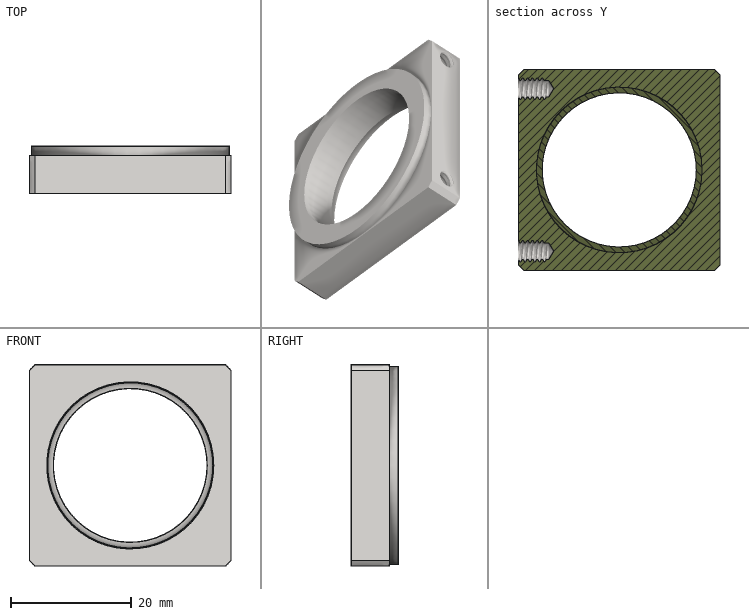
import cadquery as cq
import math

plate_side = 33.53
plate_thickness = 6.37
corner_chamfer = 0.95

bore_diameter = 27.45
counterbore_diameter = 27.8
counterbore_depth = 1.5

ring_inner_diameter = 25.55
flange_diameter = 33.0
flange_thickness = 1.5
sleeve_setback = 1.68

hole_spacing = 27.03
thread_minor_diameter = 2.68
thread_major_diameter = 3.52
thread_pitch = 0.8
thread_angle = 60.0
groove_root_width = thread_pitch / 8
thread_depth = 5.03
drill_point_angle = 118.0
groove_overlap = 0.07
thread_phase = -140.0

side_x = -plate_side / 2
hole_y = plate_thickness / 2


def cylinder_along_y(diameter, start, end):
    """Cylinder around the Y axis between two Y positions."""
    return cq.Workplane("XZ", origin=(0, start, 0)).circle(diameter / 2).extrude(start - end)


def make_thread_cutter():
    """Drilled hole with a helical flat-bottomed V groove, entering along +Z from the origin."""
    minor_radius = thread_minor_diameter / 2
    major_radius = thread_major_diameter / 2
    point_length = minor_radius / math.tan(math.radians(drill_point_angle / 2))
    drill = (
        cq.Workplane("XZ")
        .polyline([
            (0, -thread_pitch),
            (minor_radius, -thread_pitch),
            (minor_radius, thread_depth),
            (0, thread_depth + point_length),
        ])
        .close()
        .revolve(360, (0, 0, 0), (0, 1, 0))
    )
    inner_radius = minor_radius - groove_overlap
    root_half_width = groove_root_width / 2
    flank_rise = (major_radius - inner_radius) * math.tan(math.radians(thread_angle / 2))
    mouth_half_width = root_half_width + flank_rise
    groove_length = thread_depth + thread_pitch / 2
    path = cq.Wire.makeHelix(thread_pitch, groove_length, inner_radius)
    groove = (
        cq.Workplane("XZ")
        .polyline([
            (inner_radius, -mouth_half_width),
            (major_radius, -root_half_width),
            (major_radius, root_half_width),
            (inner_radius, mouth_half_width),
        ])
        .close()
        .sweep(cq.Workplane(obj=path), isFrenet=True)
        .translate((0, 0, -thread_pitch))
    )
    return drill.union(groove).rotate((0, 0, 0), (0, 0, 1), thread_phase)


def make_plate():
    """Square plate with a stepped bore and two threaded side holes."""
    plate = (
        cq.Workplane("XZ")
        .rect(plate_side, plate_side)
        .extrude(-plate_thickness)
        .edges("|Y")
        .chamfer(corner_chamfer)
    )
    plate = plate.cut(cylinder_along_y(bore_diameter, 0, plate_thickness))
    plate = plate.cut(cylinder_along_y(counterbore_diameter, 0, counterbore_depth))
    side_cutter = make_thread_cutter().rotate((0, 0, 0), (0, 1, 0), 90)
    for hole_z in (-hole_spacing / 2, hole_spacing / 2):
        plate = plate.cut(side_cutter.translate((side_x, hole_y, hole_z)))
    return plate.solids()


def make_flanged_ring():
    """Sleeve inside the bore with a flange behind the plate."""
    back_y = plate_thickness + flange_thickness
    sleeve = cylinder_along_y(bore_diameter, sleeve_setback, back_y)
    flange = cylinder_along_y(flange_diameter, plate_thickness, back_y)
    opening = cylinder_along_y(ring_inner_diameter, sleeve_setback, back_y)
    return sleeve.union(flange).cut(opening)


plate = make_plate()
flanged_ring = make_flanged_ring()

result = cq.Compound.makeCompound([plate.val(), flanged_ring.val()])